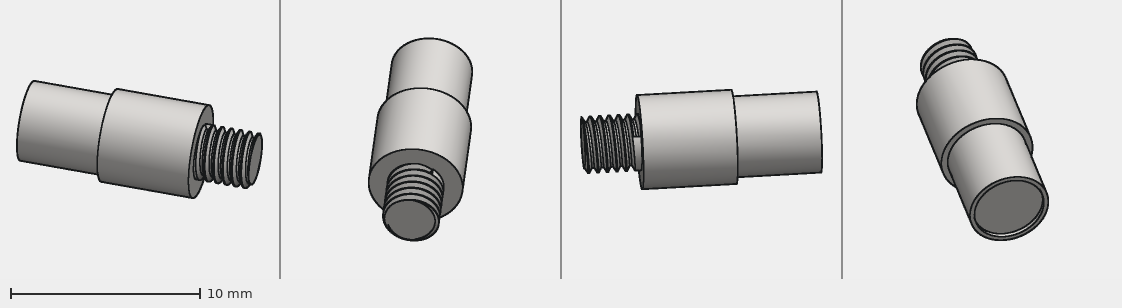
import cadquery as cq
import math

nose_diameter = 4.3
nose_length = 4.5
collar_diameter = 5.0
collar_length = 5.0
recess_diameter = 3.8
recess_depth = 0.25

stud_diameter = 3.0
stud_length = 3.0
pitch = 0.5
flank_half_angle = math.radians(30)
crest_flat = pitch / 8
root_flat = pitch / 4
thread_depth = (pitch - crest_flat - root_flat) / (2 * math.tan(flank_half_angle))
groove_start_offset = 0.18
groove_start_angle = 52.0
cut_clearance = 0.02

stud_start = nose_length + collar_length
stud_plane = cq.Plane(origin=(stud_start, 0, 0), xDir=(0, 1, 0), normal=(1, 0, 0))


def make_body():
    nose = cq.Workplane("YZ").circle(nose_diameter / 2).extrude(nose_length)
    recess = cq.Workplane("YZ").circle(recess_diameter / 2).extrude(recess_depth)
    collar = (
        cq.Workplane("YZ", origin=(nose_length, 0, 0))
        .circle(collar_diameter / 2)
        .extrude(collar_length)
    )
    return nose.cut(recess).union(collar)


def make_thread_cutter():
    """Helical V groove with a flat root, running out past the free end of the stud."""
    outer_radius = stud_diameter / 2 + cut_clearance
    root_radius = stud_diameter / 2 - thread_depth
    half_root = root_flat / 2
    half_opening = half_root + (outer_radius - root_radius) * math.tan(flank_half_angle)
    path_length = stud_length - groove_start_offset + pitch / 2
    path = cq.Wire.makeHelix(pitch, path_length, root_radius)
    cutter = (
        cq.Workplane("XZ")
        .polyline([
            (root_radius, -half_root),
            (outer_radius, -half_opening),
            (outer_radius, half_opening),
            (root_radius, half_root),
        ])
        .close()
        .sweep(cq.Workplane(obj=path), isFrenet=True)
    )
    return (
        cutter.rotate((0, 0, 0), (0, 0, 1), groove_start_angle)
        .translate((0, 0, groove_start_offset))
        .val()
        .moved(cq.Location(stud_plane))
    )


def make_stud():
    blank = cq.Workplane(stud_plane).circle(stud_diameter / 2).extrude(stud_length + 2 * pitch)
    threaded = blank.cut(cq.Workplane(obj=make_thread_cutter()))
    envelope = cq.Workplane(stud_plane).rect(collar_diameter, collar_diameter).extrude(stud_length)
    return threaded.intersect(envelope)


result = make_body().union(make_stud())